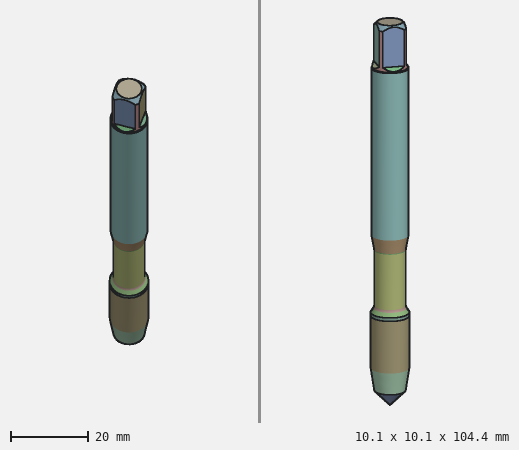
import cadquery as cq

TOTAL_LENGTH = 104.4
LEAD_END_Z = 10.2
SEAM_Z = 24.4
SHOULDER_Z = 25.4
NECK_BOTTOM_Z = 26.8
NECK_TOP_Z = 42.4
SHANK_BOTTOM_Z = 46.4
SHANK_TOP_Z = 91.9
FLAT_BOTTOM_Z = 93.3

TIP_RADIUS = 8.3 / 2
NECK_RADIUS = 8.3 / 2
CUTTER_RADIUS = 10.1 / 2
SHANK_RADIUS = 9.7 / 2
DRIVE_RADIUS = 9.3 / 2
TOP_FACE_RADIUS = 6.6 / 2
NECK_FILLET = 1.3

ACROSS_FLATS = 7.3


def revolve_profile(points):
    """Turn a closed (radius, height) outline about the Z axis."""
    return cq.Workplane("XZ").polyline(points).close().revolve(360, (0, 0, 0), (0, 1, 0))


def make_cutter():
    """Pointed cutting head with a 90 degree tip and a tapered lead."""
    return revolve_profile([
        (0, 0),
        (TIP_RADIUS, TIP_RADIUS),
        (CUTTER_RADIUS, LEAD_END_Z),
        (CUTTER_RADIUS, SEAM_Z),
        (0, SEAM_Z),
    ])


def make_flat_cutter():
    """Waste outside one flat of the square drive, with a 45 degree sloping floor."""
    half_flat = ACROSS_FLATS / 2
    outer = 2 * SHANK_RADIUS
    floor_drop = outer - half_flat
    return (
        cq.Workplane("XZ")
        .polyline([
            (half_flat, FLAT_BOTTOM_Z),
            (outer, FLAT_BOTTOM_Z - floor_drop),
            (outer, TOTAL_LENGTH),
            (half_flat, TOTAL_LENGTH),
        ])
        .close()
        .extrude(outer, both=True)
    )


def make_shank():
    """Turned shank with shoulder, neck and a square drive at the top."""
    top_chamfer = DRIVE_RADIUS - TOP_FACE_RADIUS
    drive_bottom_z = SHANK_TOP_Z + SHANK_RADIUS - DRIVE_RADIUS
    shank = revolve_profile([
        (0, SEAM_Z),
        (CUTTER_RADIUS, SEAM_Z),
        (CUTTER_RADIUS, SHOULDER_Z),
        (NECK_RADIUS, NECK_BOTTOM_Z),
        (NECK_RADIUS, NECK_TOP_Z),
        (SHANK_RADIUS, SHANK_BOTTOM_Z),
        (SHANK_RADIUS, SHANK_TOP_Z),
        (DRIVE_RADIUS, drive_bottom_z),
        (DRIVE_RADIUS, TOTAL_LENGTH - top_chamfer),
        (TOP_FACE_RADIUS, TOTAL_LENGTH),
        (0, TOTAL_LENGTH),
    ])
    reach = (NECK_RADIUS + SHANK_RADIUS) / 2
    neck_box = cq.selectors.BoxSelector(
        (-reach, -reach, SHOULDER_Z),
        (reach, reach, SHANK_BOTTOM_Z),
        boundingbox=True,
    )
    shank = shank.edges(neck_box).edges("%CIRCLE").fillet(NECK_FILLET)
    flat_cutter = make_flat_cutter()
    for angle in (0, 90, 180, 270):
        shank = shank.cut(flat_cutter.rotate((0, 0, 0), (0, 0, 1), angle))
    return shank


cutter = make_cutter()
shank = make_shank()

result = cq.Compound.makeCompound([cutter.val(), shank.val()])